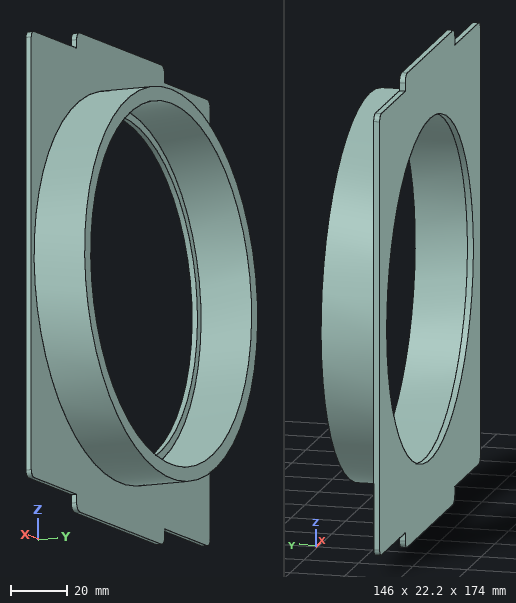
import cadquery as cq

plate_width = 146.0
plate_height = 162.0
plate_thickness = 2.2
plate_corner_radius = 2.5

tab_width = 72.0
overall_height = 174.0
tab_corner_radius = 3.0

collar_outer_diameter = 141.3
collar_length = 20.0
opening_diameter = 125.2
collar_inner_diameter = 131.1


def rounded_slab(width, height, corner_radius):
    """Slab of plate thickness, centred on the opening axis, with rounded corners."""
    slab = cq.Workplane("XY").box(width, plate_thickness, height)
    slab = slab.translate((0, plate_thickness / 2, 0))
    return slab.edges("|Y").fillet(corner_radius)


def tabbed_plate():
    """Plate crossed by a taller, narrower slab whose ends form the two tabs."""
    body = rounded_slab(plate_width, plate_height, plate_corner_radius)
    tabs = rounded_slab(tab_width, overall_height, tab_corner_radius)
    return body.union(tabs)


def cylinder_along_y(diameter, start_y, length):
    """Cylinder on the opening axis, running toward +Y from start_y."""
    axis = cq.Vector(0, 1, 0)
    base = cq.Vector(0, start_y, 0)
    return cq.Workplane(cq.Solid.makeCylinder(diameter / 2, length, base, axis))


collar = cylinder_along_y(collar_outer_diameter, plate_thickness, collar_length)
collar_bore = cylinder_along_y(collar_inner_diameter, plate_thickness, collar_length)
opening = cylinder_along_y(opening_diameter, 0, plate_thickness)

result = tabbed_plate().union(collar).cut(collar_bore).cut(opening)